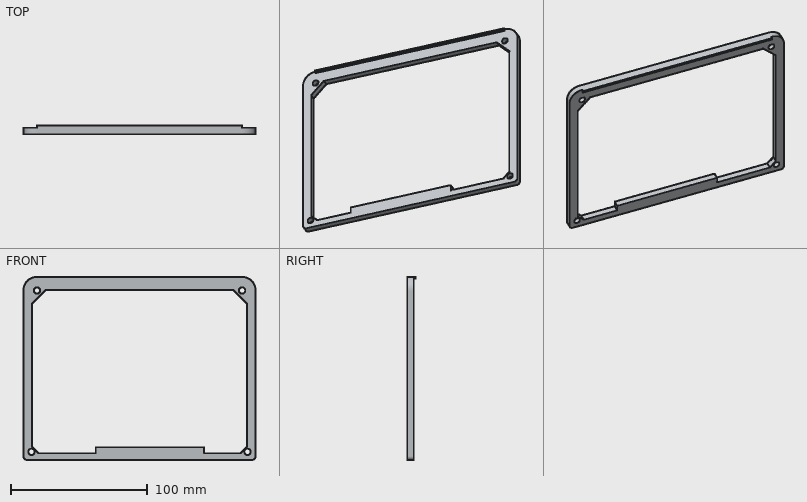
import cadquery as cq

width = 170.0
height = 134.0
thickness = 5.0
top_corner_radius = 10.0
bottom_corner_radius = 2.75

side_rail = 6.5
top_rail = 9.75
bottom_rail = 5.0
top_gusset = 10.0
bottom_gusset = 4.75

tab_left = 53.0
tab_width = 79.25
tab_top = 9.5

hole_diameter = 4.5
top_hole_inset = 10.0
bottom_hole_inset = 6.0

lip_depth = 1.5
lip_height = 1.5


def block(x_start, y_start, z_start, x_size, y_size, z_size):
    """Box placed by its lowest corner."""
    corner = (x_start, y_start, z_start)
    return cq.Workplane("XY").box(x_size, y_size, z_size, centered=False).translate(corner)


def extrude_back(sketch):
    """Extrude an XZ outline from the front face to the back face."""
    return sketch.extrude(-thickness)


def plate():
    body = block(0, 0, 0, width, thickness, height)
    body = body.edges("|Y and >Z").fillet(top_corner_radius)
    return body.edges("|Y and <Z").fillet(bottom_corner_radius)


def window():
    """Rectangular opening whose corners are cut off by gussets."""
    left = side_rail
    right = width - side_rail
    bottom = bottom_rail
    top = height - top_rail
    outline = [
        (left + bottom_gusset, bottom),
        (right - bottom_gusset, bottom),
        (right, bottom + bottom_gusset),
        (right, top - top_gusset),
        (right - top_gusset, top),
        (left + top_gusset, top),
        (left, top - top_gusset),
        (left, bottom + bottom_gusset),
    ]
    return extrude_back(cq.Workplane("XZ").polyline(outline).close())


def tab():
    return block(tab_left, 0, bottom_rail, tab_width, thickness, tab_top - bottom_rail)


def lip():
    lip_width = width - 2 * top_corner_radius
    return block(top_corner_radius, thickness, height - lip_height, lip_width, lip_depth, lip_height)


def screw_holes():
    centers = [
        (top_hole_inset, height - top_hole_inset),
        (width - top_hole_inset, height - top_hole_inset),
        (bottom_hole_inset, bottom_hole_inset),
        (width - bottom_hole_inset, bottom_hole_inset),
    ]
    return extrude_back(cq.Workplane("XZ").pushPoints(centers).circle(hole_diameter / 2))


result = plate().cut(window()).union(tab()).union(lip()).cut(screw_holes())